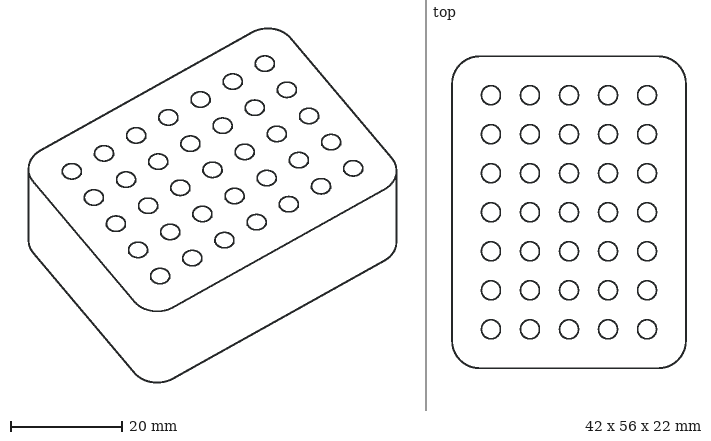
import cadquery as cq

width = 42.0
length = 56.0
height = 22.0
corner_radius = 5.0

hole_diameter = 3.4
hole_pitch = 7.0
columns = 5
rows = 7
floor_thickness = 2.0
hole_depth = height - floor_thickness


def make_block():
    block = cq.Workplane("XY").box(width, length, height)
    return block.edges("|Z").fillet(corner_radius)


def drill_holes(block):
    centres = block.faces(">Z").workplane().rarray(hole_pitch, hole_pitch, columns, rows)
    return centres.hole(hole_diameter, hole_depth)


result = drill_holes(make_block())